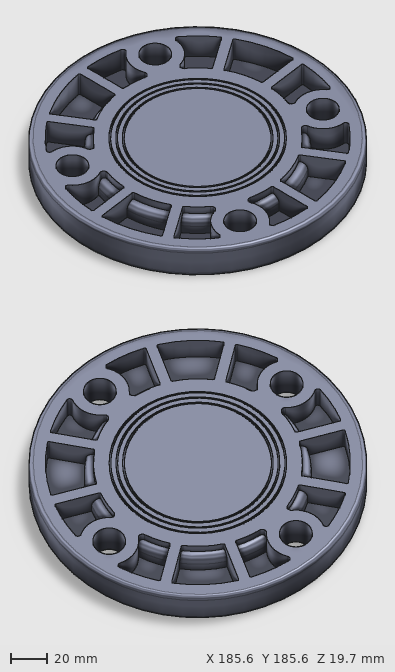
import cadquery as cq
import math

diameter = 185.6
thickness = 19.7
rim_round = 2.5

pocket_inner_radius = 57.4
pocket_outer_radius = 83.7
pocket_depth = 15.0
rib_width = 6.3
rib_angles = (30, 60, 120, 150)
rib_corner_round = 1.0
boss_outer_corner_round = 3.5 / 2
boss_inner_corner_round = 4.6 / 2

shoulder_drop = 4.8
shoulder_round = 5.0
shoulder_overlap = 3.7

bolt_count = 4
bolt_hole_diameter = 18.0
bolt_circle_radius = 72.5
boss_radius = 16.1

match_tolerance = 0.02

groove_diameters = ((80.7, 82.8), (88.2, 90.0), (95.5, 97.5))
groove_depth = 1.0


def ring(inner_radius, outer_radius, bottom, height):
    """Flat ring whose lower face lies at the given height."""
    return cq.Workplane("XY").workplane(offset=bottom).circle(outer_radius).circle(inner_radius).extrude(height)


def bolt_columns(radius):
    """Upright cylinders at the bolt positions, as tall as the disc."""
    return (
        cq.Workplane("XY")
        .polarArray(bolt_circle_radius, 0, 360, bolt_count)
        .circle(radius)
        .extrude(thickness)
    )


def on_boss(edge):
    """True when an upright edge lies on the wall of a bolt boss."""
    point = edge.Center()
    along = max(abs(point.x), abs(point.y))
    across = min(abs(point.x), abs(point.y))
    return abs(math.hypot(along - bolt_circle_radius, across) - boss_radius) < match_tolerance


def round_corners(pockets):
    """Round the upright corners, more generously next to the bosses."""
    middle_radius = (pocket_inner_radius + pocket_outer_radius) / 2
    rib_corners = []
    outer_boss_corners = []
    inner_boss_corners = []
    for edge in pockets.edges("|Z").vals():
        point = edge.Center()
        if not on_boss(edge):
            rib_corners.append(edge)
        elif math.hypot(point.x, point.y) > middle_radius:
            outer_boss_corners.append(edge)
        else:
            inner_boss_corners.append(edge)
    for corners, radius in (
        (rib_corners, rib_corner_round),
        (outer_boss_corners, boss_outer_corner_round),
        (inner_boss_corners, boss_inner_corner_round),
    ):
        pockets = pockets.newObject(corners).fillet(radius)
    return pockets


def make_pockets():
    """Ring of pockets left between the ribs and the bolt bosses."""
    pockets = ring(pocket_inner_radius, pocket_outer_radius, thickness - pocket_depth, pocket_depth)
    for angle in rib_angles:
        rib = cq.Workplane("XY").rect(diameter, rib_width).extrude(thickness)
        pockets = pockets.cut(rib.rotate((0, 0, 0), (0, 0, 1), angle))
    return round_corners(pockets.cut(bolt_columns(boss_radius)))


def make_shoulder():
    """Ring around the hub with a quarter-round upper edge."""
    floor = thickness - pocket_depth
    top = thickness - shoulder_drop
    root_radius = pocket_inner_radius - shoulder_overlap
    outer_radius = pocket_inner_radius + shoulder_round
    arc_offset = shoulder_round * math.sqrt(0.5)
    return (
        cq.Workplane("XZ")
        .moveTo(root_radius, floor)
        .lineTo(outer_radius, floor)
        .lineTo(outer_radius, top - shoulder_round)
        .threePointArc(
            (pocket_inner_radius + arc_offset, top - shoulder_round + arc_offset),
            (pocket_inner_radius, top),
        )
        .lineTo(root_radius, top)
        .close()
        .revolve(360, (0, 0, 0), (0, 1, 0))
    )


disc = cq.Workplane("XY").circle(diameter / 2).extrude(thickness)
disc = disc.faces("<Z or >Z").edges().fillet(rim_round)

result = disc.cut(make_pockets().cut(make_shoulder()))
result = result.cut(bolt_columns(bolt_hole_diameter / 2))
for inner_diameter, outer_diameter in groove_diameters:
    groove = ring(inner_diameter / 2, outer_diameter / 2, thickness - groove_depth, groove_depth)
    result = result.cut(groove)